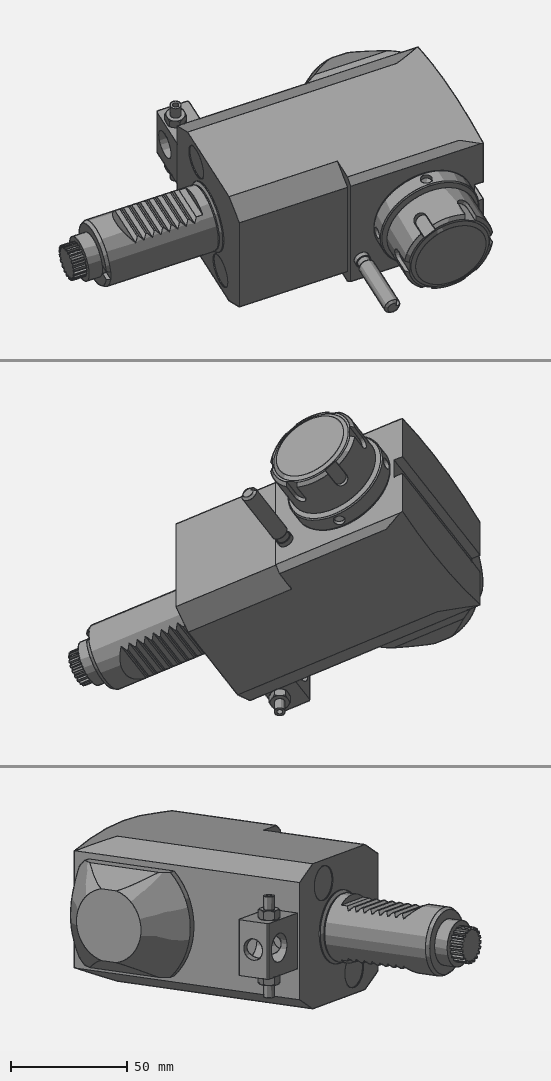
import cadquery as cq
import math


half_width = 32.0
head_right = 35.1
body_length = 114.0
head_start = 51.2
edge_bevel = (10.7, 6.2)
head_bevel = (3.3, 2.7)
spindle_y = 85.0

relief_x = 9.2
relief_radius = 160.0
relief_peak = 31.1
relief_angle = 14.0

rear_slot_width = 10.5
rear_slot_depth = 4.2

plug_radius = 7.6
plug_place = (12.5, 21.7)
plug_depth = 0.5

cap_radius = 31.7
cap_face_radius = 16.3
cap_rim = 3.0
cap_half_height = 23.2
cap_rear_limit = 109.5
cap_flat_start = -37.8
cap_flat_angle = 30.0

shank_radius = 15.0
shank_end = -54.7
collar_radius = 16.1
collar_length = 0.5
undercut_radius = 14.7
undercut_y = -1.5
undercut_end = -2.2
shank_chamfer = (0.9, 1.6)
boss_radius = 10.1
boss_end = -61.0
spline_radius = 8.0
spline_root = 6.9
spline_end = -67.0
spline_teeth = 20

flat_height = 12.1
flat_start = -6.7
groove_depth = 1.6
groove_pitch = 4.0
groove_count = 8
first_groove = -11.4

key_width = 4.7
key_depth = 1.8

ring_radius = 23.3
ring_start = 35.5
ring_end = 43.3
ring_chamfer = 0.5
ring_hole_radius = 2.5
ring_hole_depth = 3.6
ring_hole_cone = 1.6
neck_radius = 17.5
nut_radius = 21.0
nut_start = 44.5
nut_shoulder = 63.7
nut_chamfer = 1.5
nut_lip = (18.5, 16.7)
nut_end = 64.6
nut_slot_count = 6
nut_slot_width = 6.0
nut_slot_start = 52.5
nut_slot_depth = 2.0

pin_y = 56.3
pin_z = -17.0
pin_radius = 3.6
pin_collar = (3.5, 37.3)
pin_neck = (2.9, 39.8)
pin_taper_end = 40.5
pin_end = 67.9
pin_chamfer = 1.0
nozzle_radius = 1.3
nozzle_depth = 2.7

block_left = -56.0
block_front = 1.0
block_rear = 16.3
block_half_height = 12.3
block_chamfer = 0.5
cross_x = -47.0
cross_hole_radius = 6.3
side_hole_radius = 4.7
pilot_radius = 1.3
pilot_depth = 1.8
screw_y = 6.2
hex_across_flats = 8.1
hex_top = 16.5
hex_bevel = 0.5
stud_radius = 2.4
stud_top = 22.3
stud_bore_radius = 1.3


def hexagon(across_flats, height):
    """Hexagonal prism on the XY plane with its corners along X."""
    across_corners = across_flats / math.cos(math.pi / 6)
    return cq.Workplane("XY").polygon(6, across_corners).extrude(height)


def both_sides(upper):
    """Shape together with its mirror image below z = 0."""
    return upper.union(upper.mirror("XY"))


def beveled_section(right, right_bevel):
    """Housing outline in XZ."""
    left_x, left_z = edge_bevel
    right_x, right_z = right_bevel
    upper = [
        (-half_width, half_width - left_z),
        (-half_width + left_x, half_width),
        (right - right_x, half_width),
        (right, half_width - right_z),
    ]
    lower = [(x, -z) for x, z in reversed(upper)]
    return cq.Workplane("XZ").polyline(upper + lower).close()


def relief_cone():
    """Cone that leaves the shallow curved bevel on the upper rear edge."""
    front_radius = relief_radius + body_length * math.tan(math.radians(relief_angle))
    profile = [(0, 0), (front_radius, 0), (relief_radius, body_length), (0, body_length)]
    cone = cq.Workplane("XY").polyline(profile).close().revolve(360, (0, 0, 0), (0, 1, 0))
    return cone.translate((relief_x, 0, relief_peak - relief_radius))


def housing():
    base = beveled_section(half_width, edge_bevel).extrude(-body_length)
    head = beveled_section(head_right, head_bevel).extrude(head_start - body_length)
    body = base.union(head.translate((0, head_start, 0)))
    body = body.intersect(relief_cone()).intersect(relief_cone().mirror("XY"))

    slot_length = 4 * half_width
    slot = cq.Workplane("XY").box(slot_length, 2 * rear_slot_depth, rear_slot_width)
    body = body.cut(slot.translate((0, body_length, 0)))

    x, z = plug_place
    plugs = cq.Workplane("XZ").pushPoints([(-x, z), (x, -z)]).circle(plug_radius).extrude(-plug_depth)
    body = body.cut(plugs)

    pilot_y = (block_front + block_rear) / 2
    pilot = cq.Workplane("YZ", origin=(-half_width, pilot_y, 0)).circle(pilot_radius).extrude(pilot_depth)
    return body.cut(pilot)


def rear_cap():
    """Cone with two sloping flats, cut straight on its rear side."""
    rim_x = -half_width - cap_rim
    face_x = rim_x - (cap_radius - cap_face_radius)
    profile = [
        (-half_width, 0),
        (-half_width, cap_radius),
        (rim_x, cap_radius),
        (face_x, cap_face_radius),
        (face_x, 0),
    ]
    cone = cq.Workplane("XY").polyline(profile).close().revolve(360, (0, 0, 0), (1, 0, 0))
    cone = cone.translate((0, spindle_y, 0))

    flat_drop = (cap_flat_start - face_x) * math.tan(math.radians(cap_flat_angle))
    face_height = cap_half_height - flat_drop
    upper = [(-half_width, cap_half_height), (cap_flat_start, cap_half_height), (face_x, face_height)]
    lower = [(x, -z) for x, z in reversed(upper)]
    envelope = cq.Workplane("XZ").polyline(upper + lower).close().extrude(-cap_rear_limit)
    return cone.intersect(envelope)


def serration_cutter():
    """Flat with V grooves and a 45 degree run-out, swept across the shank in X."""
    groove_floor = flat_height - groove_depth
    points = [(flat_start, 2 * shank_radius), (flat_start, flat_height)]
    for i in range(groove_count):
        valley = first_groove - i * groove_pitch
        points.append((valley + groove_depth, flat_height))
        points.append((valley, groove_floor))
        points.append((valley - groove_depth, flat_height))
    run_out = 2 * shank_radius - groove_floor
    points[-1] = (valley - run_out, 2 * shank_radius)
    return cq.Workplane("YZ").polyline(points).close().extrude(shank_radius, both=True)


def spline():
    tooth_step = 2 * math.pi / spline_teeth
    corners = ((spline_root, -0.3), (spline_radius, -0.2), (spline_radius, 0.2), (spline_root, 0.3))
    points = []
    for i in range(spline_teeth):
        for radius, share in corners:
            angle = (i + share) * tooth_step
            points.append((radius * math.cos(angle), radius * math.sin(angle)))
    shaft = cq.Workplane("XZ").polyline(points).close().extrude(boss_end - spline_end)
    return shaft.translate((0, boss_end, 0))


def shank():
    radial, axial = shank_chamfer
    profile = [
        (0, 0),
        (collar_radius, 0),
        (collar_radius, -collar_length),
        (undercut_radius, undercut_y),
        (shank_radius, undercut_end),
        (shank_radius, shank_end + axial),
        (shank_radius - radial, shank_end),
        (boss_radius, shank_end),
        (boss_radius, boss_end),
        (0, boss_end),
    ]
    body = cq.Workplane("XY").polyline(profile).close().revolve(360, (0, 0, 0), (0, 1, 0))
    body = body.cut(both_sides(serration_cutter()))

    keyway = cq.Workplane("XY").box(shank_radius, 2 * key_depth, key_width, centered=(False, True, True))
    body = body.cut(keyway.translate((boss_radius, shank_end, 0)))
    return body.union(spline())


def nut_slot():
    """Wrench slot on the +Z side of the nut, rounded at its inner end."""
    half = nut_slot_width / 2
    floor = nut_radius - nut_slot_depth
    return (
        cq.Workplane("XY", origin=(0, 0, floor))
        .moveTo(nut_shoulder, -half)
        .lineTo(nut_slot_start + half, -half)
        .threePointArc((nut_slot_start, 0), (nut_slot_start + half, half))
        .lineTo(nut_shoulder, half)
        .close()
        .extrude(2 * nut_slot_depth)
    )


def collet_nut():
    lip_base, lip_face = nut_lip
    profile = [
        (half_width, 0),
        (half_width, ring_radius - ring_chamfer),
        (ring_start, ring_radius - ring_chamfer),
        (ring_start + ring_chamfer, ring_radius),
        (ring_end - ring_chamfer, ring_radius),
        (ring_end, ring_radius - ring_chamfer),
        (ring_end, neck_radius),
        (nut_start, neck_radius),
        (nut_start, nut_radius),
        (nut_shoulder - nut_chamfer, nut_radius),
        (nut_shoulder, nut_radius - nut_chamfer),
        (nut_shoulder, lip_base),
        (nut_end, lip_face),
        (nut_end, 0),
    ]
    nut = cq.Workplane("XY").polyline(profile).close().revolve(360, (0, 0, 0), (1, 0, 0))

    for i in range(nut_slot_count):
        slot_angle = 30 + i * 360 / nut_slot_count
        nut = nut.cut(nut_slot().rotate((0, 0, 0), (1, 0, 0), slot_angle))

    ring_middle = (ring_start + ring_end) / 2
    hole_profile = [
        (0, 0),
        (ring_hole_radius, ring_hole_cone),
        (ring_hole_radius, 2 * ring_hole_depth),
        (0, 2 * ring_hole_depth),
    ]
    hole = cq.Workplane("XZ").polyline(hole_profile).close().revolve(360, (0, 0, 0), (0, 1, 0))
    hole = hole.translate((ring_middle, 0, ring_radius - ring_hole_depth))
    for hole_angle in range(0, 360, 90):
        nut = nut.cut(hole.rotate((0, 0, 0), (1, 0, 0), hole_angle))
    return nut.translate((0, spindle_y, 0))


def coolant_pin():
    collar, collar_end = pin_collar
    neck, neck_end = pin_neck
    profile = [
        (half_width, 0),
        (half_width, collar),
        (collar_end, collar),
        (collar_end, neck),
        (neck_end, neck),
        (pin_taper_end, pin_radius),
        (pin_end - pin_chamfer, pin_radius),
        (pin_end, pin_radius - pin_chamfer),
        (pin_end, 0),
    ]
    pin = cq.Workplane("XY").polyline(profile).close().revolve(360, (0, 0, 0), (1, 0, 0))

    rim = (pin_end - pin_chamfer / 2, pin_radius - pin_chamfer / 2, 0)
    outlet_plane = cq.Plane(origin=rim, xDir=(0, 0, 1), normal=(1, 1, 0))
    outlet = cq.Workplane(outlet_plane).circle(nozzle_radius).extrude(nozzle_depth, both=True)
    tilt = math.degrees(math.atan2(-pin_z, spindle_y - pin_y))
    return pin.cut(outlet).rotate((0, 0, 0), (1, 0, 0), tilt).translate((0, pin_y, pin_z))


def upper_screw():
    """Hexagon nut with a stud on top of the block."""
    hex_height = hex_top - block_half_height
    corner_radius = hex_across_flats / 2 / math.cos(math.pi / 6)
    blank = cq.Workplane("XY").circle(corner_radius).extrude(hex_height)
    beveled_round = blank.edges("%CIRCLE").chamfer(hex_bevel)
    nut = hexagon(hex_across_flats, hex_height).intersect(beveled_round)

    stud_height = stud_top - block_half_height
    stud = cq.Workplane("XY").circle(stud_radius).extrude(stud_height)
    return nut.union(stud).translate((cross_x, screw_y, block_half_height))


def locating_block():
    length = -half_width - block_left
    width = block_rear - block_front
    middle_y = (block_front + block_rear) / 2
    block = (
        cq.Workplane("XY")
        .box(length, width, 2 * block_half_height)
        .edges("|Z")
        .edges("<X")
        .chamfer(block_chamfer)
        .translate((block_left + length / 2, middle_y, 0))
    )
    block = block.union(both_sides(upper_screw()))

    front_hole = cq.Workplane("XZ", origin=(cross_x, 0, 0)).circle(cross_hole_radius).extrude(-2 * width)
    side_plane = cq.Workplane("YZ", origin=(block_left, middle_y, 0))
    side_hole = side_plane.circle(side_hole_radius).extrude(length)
    stud_bore = cq.Workplane("XY", origin=(cross_x, screw_y, 0)).circle(stud_bore_radius)
    stud_bore = stud_bore.extrude(stud_top, both=True)
    return block.cut(front_hole).cut(side_hole).cut(stud_bore)


result = (
    housing()
    .union(rear_cap())
    .union(shank())
    .union(collet_nut())
    .union(coolant_pin())
    .union(locating_block())
)